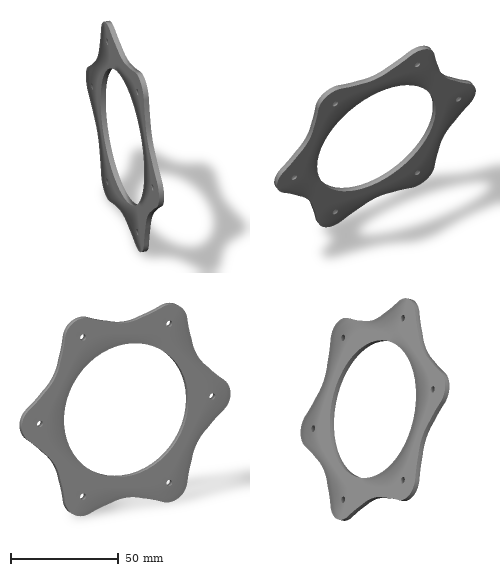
import cadquery as cq
import math

lobe_count = 6
tip_radius = 54.5
lobe_radius = 9.5
thickness = 2.5
bore_diameter = 65.0
hole_diameter = 3.0

valley_height = 42.8
valley_half_width = 8.4
valley_end_height = 44.4
flank_half_width = 18.4
flank_sag = 0.2

lobe_pitch = 360.0 / lobe_count
hole_circle_radius = tip_radius - lobe_radius
lobe_center_x = hole_circle_radius * math.sin(math.radians(lobe_pitch / 2))
lobe_center_z = hole_circle_radius * math.cos(math.radians(lobe_pitch / 2))
flank_end_height = lobe_center_z + math.sqrt(lobe_radius**2 - (lobe_center_x - flank_half_width) ** 2)

back_plane = cq.Workplane("XZ", origin=(0, thickness / 2, 0))


def rotated(point, angle):
    """Turn a profile point about the plate centre by an angle in degrees."""
    x, z = point
    c = math.cos(math.radians(angle))
    s = math.sin(math.radians(angle))
    return (x * c - z * s, x * s + z * c)


def flank_midpoint():
    """Middle of the bowed flank on the +X half of the side."""
    run = flank_half_width - valley_half_width
    rise = flank_end_height - valley_end_height
    length = math.hypot(run, rise)
    x = valley_half_width + run / 2 + flank_sag * rise / length
    z = valley_end_height + rise / 2 - flank_sag * run / length
    return (x, z)


def plate_outline():
    """Closed star outline: flank, valley, flank and lobe end, once per side."""
    mid_x, mid_z = flank_midpoint()
    start = (flank_half_width, flank_end_height)
    arcs = [
        ((mid_x, mid_z), (valley_half_width, valley_end_height)),
        ((0, valley_height), (-valley_half_width, valley_end_height)),
        ((-mid_x, mid_z), (-flank_half_width, flank_end_height)),
        (rotated((0, tip_radius), lobe_pitch / 2), rotated(start, lobe_pitch)),
    ]
    outline = back_plane.moveTo(*start)
    for side in range(lobe_count):
        angle = side * lobe_pitch
        for middle, end in arcs:
            outline = outline.threePointArc(rotated(middle, angle), rotated(end, angle))
    return outline.close()


plate = plate_outline().extrude(thickness)

bore = back_plane.circle(bore_diameter / 2).extrude(thickness)
screw_holes = (
    back_plane
    .polarArray(hole_circle_radius, 0, 360, lobe_count)
    .circle(hole_diameter / 2)
    .extrude(thickness)
)

result = plate.cut(bore).cut(screw_holes)